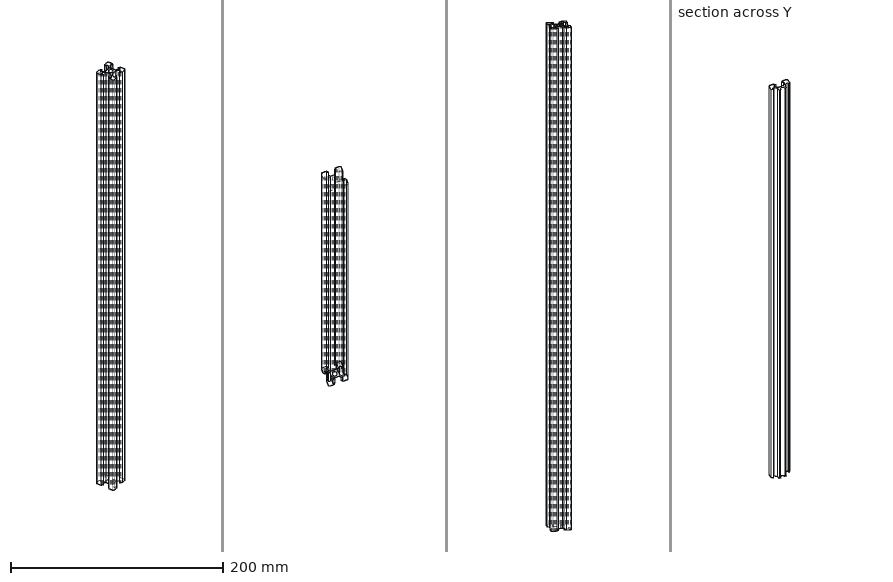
import cadquery as cq
import math

side = 20.0
side_count = 4
length = 500.0
corner_radius = 1.5

lip_thickness = 1.8
slot_throat = 5.68
slot_mouth = slot_throat + 2 * lip_thickness
slot_inner_width = 10.4

core_width = 7.8
rib_thickness = 1.65
bore_diameter = 4.25

half_side = side / 2
lip_inner = half_side - lip_thickness
core_half = core_width / 2
inner_half = slot_inner_width / 2
rib_offset = rib_thickness / math.sqrt(2)


def make_bar():
    """Solid square bar with rounded long edges, standing along Z."""
    bar = cq.Workplane("XY").rect(side, side).extrude(length)
    return bar.edges("|Z").fillet(corner_radius)


def make_slot():
    """Full-length slot volume on the +Y side, mirrored about the YZ plane."""
    right_half = [
        (core_half - rib_offset, core_half),
        (inner_half, inner_half + rib_offset),
        (inner_half, lip_inner),
        (slot_throat / 2, lip_inner),
        (slot_mouth / 2, half_side),
    ]
    left_half = [(-x, y) for x, y in reversed(right_half)]
    return cq.Workplane("XY").polyline(right_half + left_half).close().extrude(length)


def make_bore():
    """Central round hole running the full length."""
    return cq.Workplane("XY").circle(bore_diameter / 2).extrude(length)


result = make_bar().cut(make_bore())
slot = make_slot()
for index in range(side_count):
    result = result.cut(slot.rotate((0, 0, 0), (0, 0, 1), index * 360 / side_count))